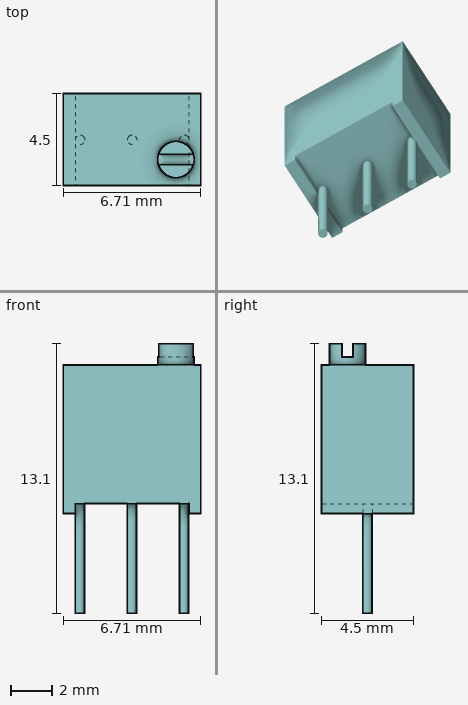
import cadquery as cq

body_width = 6.71
body_depth = 4.5
total_height = 13.14

body_bottom = 4.86
body_top = 12.1
notch_top = 5.35

notch_width = 5.55
pin_diameter = 0.46
pin_pitch = 2.54

screw_diameter = 1.77
screw_x = 2.14
screw_y = -0.97
slot_width = 0.53
slot_depth = 0.65


def make_body():
    """Rectangular housing with a notch across its underside that leaves two feet."""
    body = (
        cq.Workplane("XY", origin=(0, 0, body_bottom))
        .rect(body_width, body_depth)
        .extrude(body_top - body_bottom)
    )
    notch = (
        cq.Workplane("XY", origin=(0, 0, body_bottom))
        .rect(notch_width, body_depth)
        .extrude(notch_top - body_bottom)
    )
    return body.cut(notch)


def make_pins():
    """Row of three round pins reaching up to the notch ceiling."""
    return (
        cq.Workplane("XY")
        .pushPoints([(step * pin_pitch, 0) for step in (-1, 0, 1)])
        .circle(pin_diameter / 2)
        .extrude(notch_top)
    )


def make_screw():
    """Round screw head with a screwdriver slot along X."""
    head = (
        cq.Workplane("XY", origin=(screw_x, screw_y, body_top))
        .circle(screw_diameter / 2)
        .extrude(total_height - body_top)
    )
    slot = (
        cq.Workplane("XY", origin=(screw_x, screw_y, total_height - slot_depth))
        .rect(screw_diameter, slot_width)
        .extrude(slot_depth)
    )
    return head.cut(slot)


result = make_body().union(make_pins()).union(make_screw())